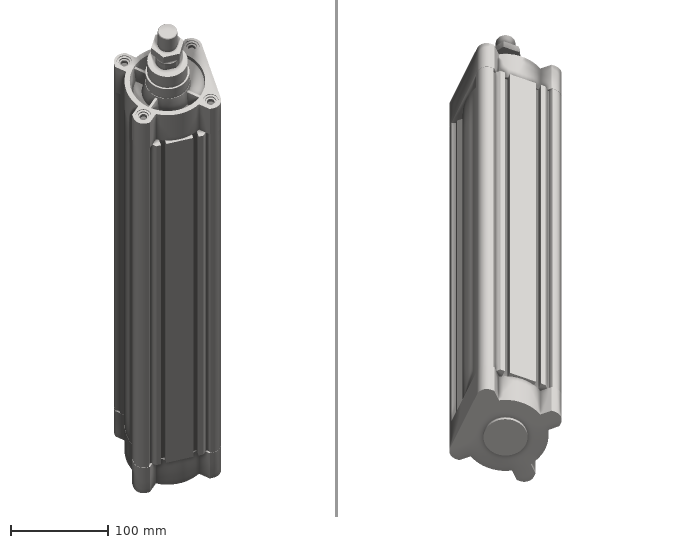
import cadquery as cq
import math

total_length = 717.5
rear_boss_height = 3.5
housing_top = 633.0
cap_length = 43.0
front_cap_base = housing_top - cap_length
rear_cap_top = rear_boss_height + cap_length

half_width = 47.0
lobe_center = 36.0
bulge_diameter = 88.0
bulge_radius = bulge_diameter / 2
bulge_half_width = 23.0
cut_margin = 7.0

tube_inset = 0.2
tube_half_width = half_width - tube_inset
tube_bulge_radius = bulge_radius - tube_inset
groove_floor = 42.0
groove_end = 31.0
groove_mouth = 33.0
groove_wall_slope = (groove_mouth - groove_end) / (half_width - groove_floor)
land_half_width = 25.0
slot_offset = 17.0
slot_width = 6.0
slot_depth = 7.0

recess_outer_radius = 39.0
recess_inner_radius = 23.0
recess_draft = 0.2
recess_depth = 18.0
port_recess_depth = 4.0
rib_width = 3.0
rib_drop = 2.0

screw_mouth_diameter = 16.0
screw_mouth_depth = 1.1
screw_bore_diameter = 11.5
screw_bore_depth = 3.0
socket_diameter = 8.0
socket_depth = 7.0

collar_diameter = 45.0
collar_top = 649.0
wiper_diameter = 41.5
wiper_top = 667.5

rod_diameter = 25.0
rod_base = front_cap_base
rod_shoulder = 680.0
rod_chamfer = 2.0
rod_flat_width = 22.0
neck_diameter = 18.0
thread_diameter = 20.0
thread_chamfer = 1.0

nut_base = 685.0
nut_height = 10.0
nut_top = nut_base + nut_height
nut_across_flats = 30.0


def cylinder(diameter, bottom, top):
    """Upright cylinder on the main axis."""
    return cq.Workplane("XY").workplane(offset=bottom).circle(diameter / 2).extrude(top - bottom)


def bulge_edge(radius):
    """Distance from the main axis to the edges of a bulge, measured square to its side."""
    return math.sqrt(radius**2 - bulge_half_width**2)


def rounded_bar(bottom, top, bar_half_width):
    """Square bar with rounded corners around the lobe centers."""
    side = 2 * bar_half_width
    bar = cq.Workplane("XY").workplane(offset=bottom).rect(side, side).extrude(top - bottom)
    return bar.edges("|Z").fillet(bar_half_width - lobe_center)


def turned(shape, angle):
    """Shape turned about the main axis."""
    return shape.rotate((0, 0, 0), (0, 0, 1), angle)


def bulge_relief(bottom, top, radius, flank):
    """Cutter that leaves a round bulge on the -Y side; flank lists the +X points after the bulge."""
    edge = bulge_edge(radius)
    mirrored_flank = [(-x, y) for x, y in reversed(flank)]
    outline = (
        cq.Workplane("XY").workplane(offset=bottom)
        .moveTo(-bulge_half_width, -edge)
        .threePointArc((0, -radius), (bulge_half_width, -edge))
    )
    for point in flank + mirrored_flank:
        outline = outline.lineTo(*point)
    return outline.close().extrude(top - bottom)


def make_cap(bottom, top):
    """End cap: flat +Y side, round bulges on the other three."""
    outer = half_width + cut_margin
    flank = [(bulge_half_width + outer - bulge_edge(bulge_radius), -outer)]
    relief = bulge_relief(bottom, top, bulge_radius, flank)
    cap = rounded_bar(bottom, top, half_width)
    for angle in (-90, 0, 90):
        cap = cap.cut(turned(relief, angle))
    return cap


def make_tube(bottom, top):
    """Tube: round bulges on the Y sides, flat slotted lands on the X sides."""
    outer = half_width + cut_margin
    wall_outer = groove_end + groove_wall_slope * (outer - groove_floor)
    groove_start = bulge_half_width + groove_floor - bulge_edge(tube_bulge_radius)
    flank = [(groove_start, -groove_floor), (groove_end, -groove_floor), (wall_outer, -outer)]
    relief = bulge_relief(bottom, top, tube_bulge_radius, flank)

    land_outer = land_half_width - (outer - tube_half_width)
    land_floor = land_half_width + tube_half_width - groove_floor
    groove_outline = [
        (outer, land_outer),
        (groove_floor, land_floor),
        (groove_floor, groove_end),
        (outer, wall_outer),
    ]
    groove = (
        cq.Workplane("XY").workplane(offset=bottom).polyline(groove_outline).close().extrude(top - bottom)
    )
    slot = (
        cq.Workplane("XY").workplane(offset=bottom)
        .center(tube_half_width, slot_offset)
        .rect(2 * slot_depth, slot_width)
        .extrude(top - bottom)
    )
    side_cuts = groove.union(slot)
    side_cuts = side_cuts.union(side_cuts.mirror("XZ"))

    tube = rounded_bar(bottom, top, tube_half_width)
    for angle in (0, 180):
        tube = tube.cut(turned(relief, angle)).cut(turned(side_cuts, angle))
    return tube


def recess_ring():
    """Ring with drafted walls, open at the front cap face."""
    floor = housing_top - recess_depth
    lean = recess_draft * recess_depth
    profile = [
        (recess_inner_radius, housing_top),
        (recess_outer_radius, housing_top),
        (recess_outer_radius - lean, floor),
        (recess_inner_radius + lean, floor),
    ]
    return cq.Workplane("XZ").polyline(profile).close().revolve(360, (0, 0, 0), (0, 1, 0))


def make_rib():
    """Bar across the recess along X, with drafted sides."""
    floor = housing_top - recess_depth
    rib_top = housing_top - rib_drop
    half_top = rib_width / 2
    half_base = half_top + recess_draft * (rib_top - floor)
    profile = [(-half_base, floor), (half_base, floor), (half_top, rib_top), (-half_top, rib_top)]
    return cq.Workplane("YZ").polyline(profile).close().extrude(half_width, both=True)


def make_recess():
    """Ring recess split by four diagonal ribs, with a shallow +Y quarter."""
    reach = 2 * half_width
    port_fill = (
        cq.Workplane("XY").workplane(offset=housing_top - recess_depth)
        .polyline([(0, 0), (reach, reach), (-reach, reach)]).close()
        .extrude(recess_depth - port_recess_depth)
    )
    recess = recess_ring().cut(port_fill)
    for angle in (45, 135):
        recess = recess.cut(turned(make_rib(), angle))
    return recess


def make_screw_holes():
    """Stepped recesses of the four corner screws in the front cap."""
    steps = [
        (screw_mouth_diameter, screw_mouth_depth),
        (screw_bore_diameter, screw_bore_depth),
        (socket_diameter, socket_depth),
    ]
    spacing = 2 * lobe_center
    holes = cq.Workplane("XY")
    for diameter, depth in steps:
        step = (
            cq.Workplane("XY").workplane(offset=housing_top - depth)
            .rarray(spacing, spacing, 2, 2)
            .circle(diameter / 2)
            .extrude(depth)
        )
        holes = holes.add(step)
    return holes.combine()


def make_housing():
    """Caps, tube, collar and rear boss in one piece, bored for the rod."""
    front_cap = make_cap(front_cap_base, housing_top).cut(make_recess()).cut(make_screw_holes())
    return (
        make_tube(rear_cap_top, front_cap_base)
        .union(front_cap)
        .union(make_cap(rear_boss_height, rear_cap_top))
        .union(cylinder(collar_diameter, 0, rear_boss_height))
        .union(cylinder(collar_diameter, housing_top, collar_top))
        .union(cylinder(wiper_diameter, collar_top, wiper_top))
        .cut(cylinder(rod_diameter, rod_base, wiper_top))
    )


def make_rod():
    """Piston rod with wrench flats, a neck and a plain cylinder for the thread."""
    shaft = cylinder(rod_diameter, rod_base, rod_shoulder).faces(">Z").chamfer(rod_chamfer)
    flat_height = rod_shoulder - rod_chamfer - wiper_top
    flats = (
        cq.Workplane("XY").workplane(offset=wiper_top)
        .rect(2 * rod_diameter, 2 * rod_diameter)
        .rect(rod_flat_width, 2 * rod_diameter)
        .extrude(flat_height)
    )
    neck = cylinder(neck_diameter, rod_shoulder, nut_base)
    thread = cylinder(thread_diameter, nut_base, total_length).faces(">Z").chamfer(thread_chamfer)
    return shaft.cut(flats).union(neck).union(thread)


def make_nut():
    """Hexagon nut with two corners on the Y axis."""
    across_corners = nut_across_flats / math.cos(math.pi / 6)
    hexagon = cq.Workplane("XY").workplane(offset=nut_base).polygon(6, across_corners).extrude(nut_height)
    return turned(hexagon, 90).cut(cylinder(thread_diameter, nut_base, nut_top))


housing = make_housing()
piston_rod = make_rod()
nut = make_nut()

result = cq.Compound.makeCompound([housing.val(), piston_rod.val(), nut.val()])